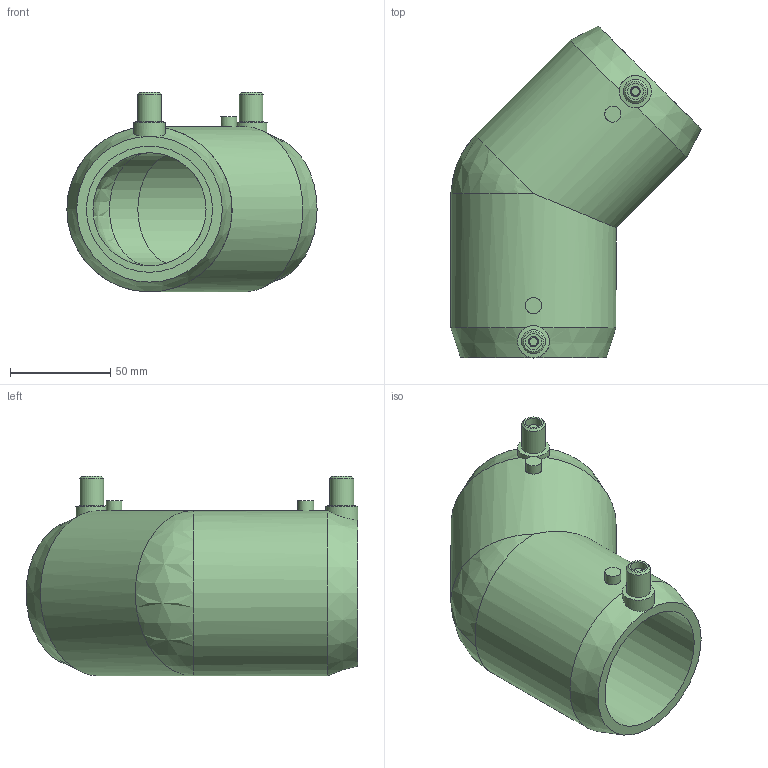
import cadquery as cq
import math


BEND_ANGLE = 45.0
LEG_LENGTH = 82.0
OUTER_RADIUS = 82.5 / 2
INNER_RADIUS = 56.5 / 2
SOCKET_RADIUS = 63.0 / 2
SOCKET_DEPTH = 62.0
TAPER_LENGTH = 15.0
TAPER_ANGLE = 18.0
END_RADIUS = OUTER_RADIUS - TAPER_LENGTH * math.tan(math.radians(TAPER_ANGLE))

TERMINAL_TOP = 58.5
FOOT_RADIUS = 16.0 / 2
FOOT_TOP = OUTER_RADIUS + 2.5
FOOT_SLOPE_DROP = 0.25
SHROUD_RADIUS = 12.0 / 2
SHROUD_CHAMFER = 1.0
SHROUD_BORE_RADIUS = 8.0 / 2
CONTACT_RADIUS = 5.0 / 2
CONTACT_CHAMFER = 0.5
CONTACT_TOP = TERMINAL_TOP - 2.5

INDICATOR_RADIUS = 8.0 / 2
INDICATOR_TOP = OUTER_RADIUS + 5.0

ROOT_HEIGHT = SOCKET_RADIUS + 2.0

FIRST_TERMINAL_POSITION = LEG_LENGTH - FOOT_RADIUS
SECOND_TERMINAL_POSITION = 72.0
INDICATOR_POSITION = 56.0

LEGS = [
    (180.0, FIRST_TERMINAL_POSITION),
    (-BEND_ANGLE, SECOND_TERMINAL_POSITION),
]


def turn_to_leg(shape, turn):
    """Turn a shape built along +Y into the direction of a leg."""
    return shape.rotate((0, 0, 0), (0, 0, 1), turn)


def upright_cylinder(radius, bottom, top, position):
    """Vertical cylinder standing on the leg axis at a distance along +Y."""
    return (
        cq.Workplane("XY", origin=(0, position, bottom))
        .circle(radius)
        .extrude(top - bottom)
    )


def leg_body():
    """Solid leg along +Y with a tapered end."""
    outline = [
        (0, 0),
        (OUTER_RADIUS, 0),
        (OUTER_RADIUS, LEG_LENGTH - TAPER_LENGTH),
        (END_RADIUS, LEG_LENGTH),
        (0, LEG_LENGTH),
    ]
    return cq.Workplane("XY").polyline(outline).close().revolve(360, (0, 0), (0, 1))


def leg_bore():
    """Stepped bore of one leg along +Y: passage, then pipe socket."""
    socket_start = LEG_LENGTH - SOCKET_DEPTH
    outline = [
        (0, 0),
        (INNER_RADIUS, 0),
        (INNER_RADIUS, socket_start),
        (SOCKET_RADIUS, socket_start),
        (SOCKET_RADIUS, LEG_LENGTH),
        (0, LEG_LENGTH),
    ]
    return cq.Workplane("XY").polyline(outline).close().revolve(360, (0, 0), (0, 1))


def terminal_foot(position):
    """Round foot whose top falls slightly from the shroud to the rim."""
    outline = [
        (0, ROOT_HEIGHT),
        (FOOT_RADIUS, ROOT_HEIGHT),
        (FOOT_RADIUS, FOOT_TOP - FOOT_SLOPE_DROP),
        (SHROUD_RADIUS, FOOT_TOP),
        (0, FOOT_TOP),
    ]
    return (
        cq.Workplane("XZ", origin=(0, position, 0))
        .polyline(outline).close()
        .revolve(360, (0, 0), (0, 1))
    )


def terminal(position):
    """Terminal on top of a leg along +Y."""
    foot = terminal_foot(position)
    shroud = (
        upright_cylinder(SHROUD_RADIUS, FOOT_TOP, TERMINAL_TOP, position)
        .faces(">Z").edges().chamfer(SHROUD_CHAMFER)
    )
    shroud_bore = upright_cylinder(SHROUD_BORE_RADIUS, FOOT_TOP, TERMINAL_TOP, position)
    contact = (
        upright_cylinder(CONTACT_RADIUS, FOOT_TOP, CONTACT_TOP, position)
        .faces(">Z").edges().chamfer(CONTACT_CHAMFER)
    )
    return foot.union(shroud.cut(shroud_bore)).union(contact)


def indicator():
    """Fusion indicator on top of a leg along +Y."""
    return upright_cylinder(INDICATOR_RADIUS, ROOT_HEIGHT, INDICATOR_TOP, INDICATOR_POSITION)


body = cq.Workplane("XY").sphere(OUTER_RADIUS)
bore = cq.Workplane("XY").sphere(INNER_RADIUS)
for turn, _ in LEGS:
    body = body.union(turn_to_leg(leg_body(), turn))
    bore = bore.union(turn_to_leg(leg_bore(), turn))

result = body.cut(bore)
for turn, terminal_position in LEGS:
    result = result.union(turn_to_leg(terminal(terminal_position), turn))
    result = result.union(turn_to_leg(indicator(), turn))